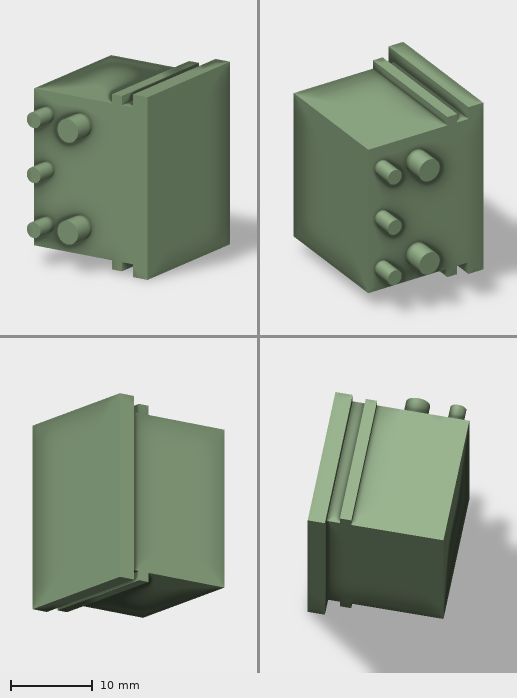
import cadquery as cq

width = 16.65
flange_height = 23.3
total_depth = 21.2
pin_length = 3.0
depth = total_depth - pin_length

block_height = 20.04
flange_thickness = 2.15
flange_overhang = 1.23
rib_height = 22.37
rib_thickness = 1.42
rib_left = 11.46

peg_diameter = 3.0
peg_x = 6.95
peg_spacing = 13.0

pin_diameter = 2.0
pin_x = 1.93
pin_pitch = 7.01
pin_count = 3


def make_slab(left, thickness, slab_depth, height):
    """Box running back from the front face, centred on Z = 0."""
    return (
        cq.Workplane("XY")
        .box(thickness, slab_depth, height, centered=(False, False, True))
        .translate((left, 0, 0))
    )


def make_post(x, z, diameter):
    """Round post standing forward from the front face."""
    return cq.Workplane("XZ").center(x, z).circle(diameter / 2).extrude(pin_length)


def make_housing():
    """Block with ribs above and below, an end flange and two pegs."""
    body_depth = depth - flange_overhang
    body = make_slab(0, width, body_depth, block_height)
    body = body.union(make_slab(rib_left, rib_thickness, body_depth, rib_height))
    body = body.union(make_slab(width - flange_thickness, flange_thickness, depth, flange_height))
    for side in (-1, 1):
        body = body.union(make_post(peg_x, side * peg_spacing / 2, peg_diameter))
    return body


def make_terminal_pin(index):
    """One pin of the evenly spaced vertical row."""
    z = (index - (pin_count - 1) / 2) * pin_pitch
    return make_post(pin_x, z, pin_diameter)


housing = make_housing()
terminal_pins = [make_terminal_pin(index) for index in range(pin_count)]

result = cq.Compound.makeCompound([housing.val(), *[pin.val() for pin in terminal_pins]])